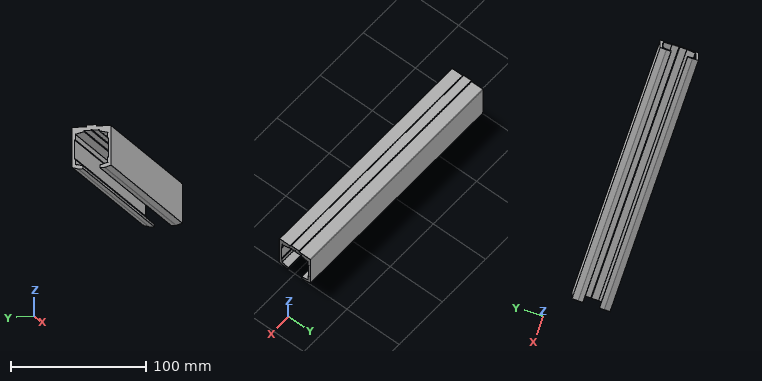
import cadquery as cq

length = 200.0
width = 30.0
height = 33.0

strip_width = 8.0
strip_height = 1.2
edge_radius = 0.5

wall = 2.5
recess_depth = 0.5
recess_bottom = 7.8
recess_top = 22.2

slot_width = 12.8
lip_tip_top = 2.0
lip_root_top = 3.8
outer_slope_width = 4.8
outer_slope_height = 1.5

roof_flat_width = 11.5
roof_flat_z = 28.8
roof_step = 0.8
shoulder_drop = 1.5

groove_width = 0.5
groove_depth = 0.5

half_width = width / 2
half_length = length / 2
body_top = height - strip_height
inner_y = half_width - wall
recess_y = inner_y + recess_depth
shoulder_z = roof_flat_z - roof_step


def half_profile():
    """Right half of the section as (y, z) points, from the top centre round to the roof centre."""
    return [
        (0, height),
        (strip_width / 2, height),
        (strip_width / 2, body_top),
        (half_width, body_top),
        (half_width, outer_slope_height),
        (half_width - outer_slope_width, 0),
        (slot_width / 2, 0),
        (slot_width / 2, lip_tip_top),
        (inner_y, lip_root_top),
        (inner_y, recess_bottom),
        (recess_y, recess_bottom),
        (recess_y, recess_top),
        (inner_y, recess_top),
        (inner_y, shoulder_z - shoulder_drop),
        (roof_flat_width / 2, shoulder_z),
        (roof_flat_width / 2, roof_flat_z),
        (groove_width / 2, roof_flat_z),
        (0, roof_flat_z + groove_depth),
    ]


half_channel = (
    cq.Workplane("YZ", origin=(-half_length, 0, 0))
    .polyline(half_profile())
    .close()
    .extrude(length)
)
channel = half_channel.union(half_channel.mirror("XZ")).clean()

corner_selector = cq.selectors.NearestToPointSelector
for side in (-1, 1):
    corner = corner_selector((0, side * half_width, body_top))
    channel = channel.edges("|X").edges(corner).fillet(edge_radius)

result = channel